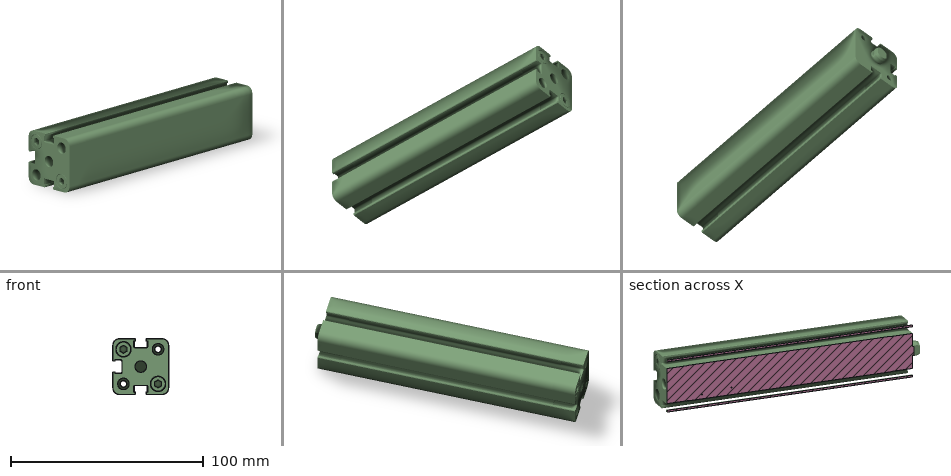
import cadquery as cq
import math

SIDE = 29.0
TOTAL_LENGTH = 142.5
ROD_LENGTH = 4.4
CAP_LENGTH = 12.1
CORNER_RADIUS = 3.5
BODY_LENGTH = TOTAL_LENGTH - ROD_LENGTH
TUBE_LENGTH = BODY_LENGTH - 2 * CAP_LENGTH
FRONT_Y = -TOTAL_LENGTH / 2
BODY_END_Y = FRONT_Y + BODY_LENGTH
ROD_END_Y = TOTAL_LENGTH / 2

SLOT_DEPTH = 4.7
SLOT_LIP = 1.3
SLOT_MOUTH = 5.5
SLOT_MOUTH_CHAMFER = 0.3
SLOT_FLOOR_RADIUS = 0.5
CAP_SLOT_WIDTH = 7.3
TUBE_SLOT_WIDTH = 6.7
SLOT_ANGLES = (0, -90, 180)

CORNER_OFFSET = 9.0
THROUGH_DIAMETER = 3.3
BORE_DIAMETER = 6.0
BORE_DEPTH = 12.0
SCREW_SEAT_DIAMETER = 8.0
SCREW_HEAD_DIAMETER = 7.5
SCREW_GAP_DEPTH = 0.7
SOCKET_ACROSS_FLATS = 3.5
SOCKET_DEPTH = 2.8
BORED_CORNERS = [(CORNER_OFFSET, CORNER_OFFSET), (-CORNER_OFFSET, -CORNER_OFFSET)]
SCREW_CORNERS = [(-CORNER_OFFSET, CORNER_OFFSET), (CORNER_OFFSET, -CORNER_OFFSET)]

ROD_DIAMETER = 8.0
ROD_TIP_DIAMETER = 7.0
ROD_TIP_LENGTH = 1.4
ROD_FLATS = 6.0
FLAT_START = 1.1
RUN_OUT_HEIGHT = 1.3


def end_plane(y):
    """Workplane across the cylinder: local x is X, local y is Z, negative extrusions run toward +Y."""
    return cq.Workplane("XZ", origin=(0, y, 0))


def slot_cutter(start, length, width):
    """T-slot in the +Z side, with a chamfered mouth and rounded floor corners."""
    top = SIDE / 2
    lip_bottom = top - SLOT_LIP
    floor = top - SLOT_DEPTH
    plane = end_plane(start)
    mouth = plane.center(0, (floor + top) / 2).rect(SLOT_MOUTH, SLOT_DEPTH).extrude(-length)
    cavity = plane.center(0, (floor + lip_bottom) / 2).rect(width, lip_bottom - floor).extrude(-length)
    cavity = cavity.edges("|Y and <Z").fillet(SLOT_FLOOR_RADIUS)
    half_flare = SLOT_MOUTH / 2 + SLOT_MOUTH_CHAMFER
    flare_outline = [(-half_flare, top), (half_flare, top), (0, top - half_flare)]
    flare = plane.polyline(flare_outline).close().extrude(-length)
    return mouth.union(cavity).union(flare)


def body_section(start, length, slot_width):
    """Rounded square bar with a slot in three of its sides."""
    section = end_plane(start).rect(SIDE, SIDE).extrude(-length).edges("|Y").fillet(CORNER_RADIUS)
    cutter = slot_cutter(start, length, slot_width)
    for angle in SLOT_ANGLES:
        section = section.cut(cutter.rotate((0, 0, 0), (0, 1, 0), angle))
    return section


def piston_rod():
    """Rod stub with a tapered tip and two wrench flats that run out in slopes."""
    half_profile = [
        (0, BODY_END_Y),
        (ROD_DIAMETER / 2, BODY_END_Y),
        (ROD_DIAMETER / 2, ROD_END_Y - ROD_TIP_LENGTH),
        (ROD_TIP_DIAMETER / 2, ROD_END_Y),
        (0, ROD_END_Y),
    ]
    round_rod = cq.Workplane("XY").polyline(half_profile).close().revolve(360, (0, 0), (0, 1))
    half_flats = ROD_FLATS / 2
    half_base = half_flats + RUN_OUT_HEIGHT
    flat_y = BODY_END_Y + FLAT_START
    envelope_outline = [
        (half_base, BODY_END_Y),
        (half_flats, flat_y),
        (half_flats, ROD_END_Y),
        (-half_flats, ROD_END_Y),
        (-half_flats, flat_y),
        (-half_base, BODY_END_Y),
    ]
    envelope = cq.Workplane("XY").polyline(envelope_outline).close().extrude(ROD_DIAMETER, both=True)
    return round_rod.intersect(envelope)


def round_holes(places, diameter, depth):
    """Round cutters going in from the -Y end face."""
    return end_plane(FRONT_Y).pushPoints(places).circle(diameter / 2).extrude(-depth)


def screw_gaps():
    """Ring-shaped gaps between the flush screw heads and their seats."""
    seats = round_holes(SCREW_CORNERS, SCREW_SEAT_DIAMETER, SCREW_GAP_DEPTH)
    return seats.cut(round_holes(SCREW_CORNERS, SCREW_HEAD_DIAMETER, SCREW_GAP_DEPTH))


def screw_socket(place):
    """Hexagon socket with a corner pointing up."""
    across_corners = SOCKET_ACROSS_FLATS / math.cos(math.radians(30))
    plane = end_plane(FRONT_Y).center(*place).transformed(rotate=(0, 0, 90))
    return plane.polygon(6, across_corners).extrude(-SOCKET_DEPTH)


result = body_section(FRONT_Y, CAP_LENGTH, CAP_SLOT_WIDTH)
added_parts = [
    body_section(FRONT_Y + CAP_LENGTH, TUBE_LENGTH, TUBE_SLOT_WIDTH),
    body_section(BODY_END_Y - CAP_LENGTH, CAP_LENGTH, CAP_SLOT_WIDTH),
    piston_rod(),
]
for part in added_parts:
    result = result.union(part, clean=False)

cutters = [
    round_holes(BORED_CORNERS, THROUGH_DIAMETER, BODY_LENGTH),
    round_holes(BORED_CORNERS + [(0, 0)], BORE_DIAMETER, BORE_DEPTH),
    screw_gaps(),
]
cutters += [screw_socket(place) for place in SCREW_CORNERS]
for cutter in cutters:
    result = result.cut(cutter, clean=False)